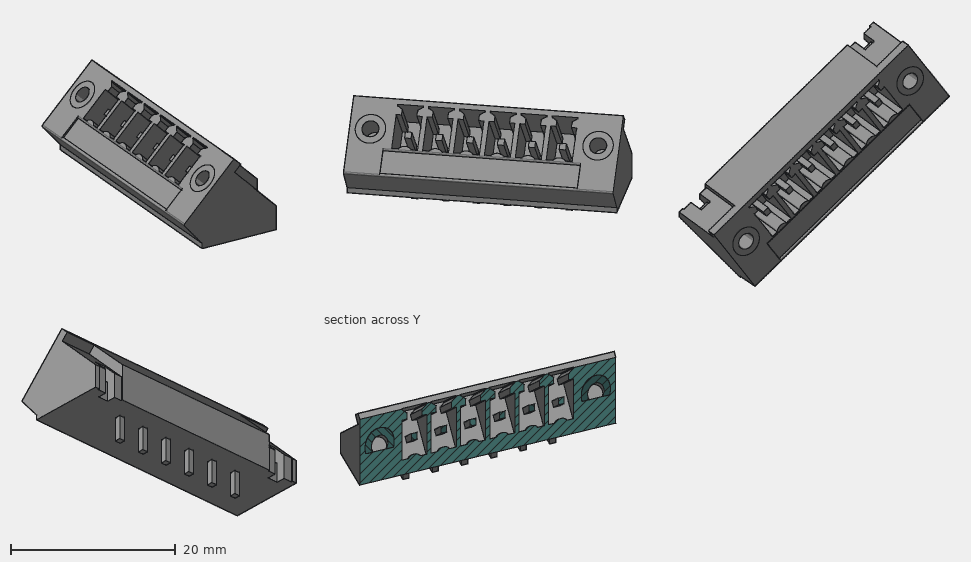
import cadquery as cq
import math


length = 33.25
height = 10.95
ridge_setback = 6.02
face_length = 10.1
back_height = 5.02
foot_depth = 10.55
foot_height = 0.7
edge_radius = 0.213

end_length = 4.45
end_back_height = 3.2
end_step_setback = 5.05
end_relief_depth = 0.2
end_relief_length = 3.82
slot_width = 1.5
slot_depth = 1.43
slot_ledge_depth = 2.0
slot_ledge_height = 2.65

panel_start = 6.55

pin_count = 6
pin_span = 19.05
pocket_depth = 6.0
pocket_top = 0.7
pocket_bottom = 6.42
mouth_bottom = 0.83
throat_top = 1.3
throat_bottom = 2.03
pocket_width = 3.2
throat_width = 1.9
rib_width = 1.6
rib_height = 0.35

pin_size = 0.8
pin_setback = 3.3
tail_length = 3.25
pin_tip_depth = 1.23
axis_drop = 4.12

insert_spacing = 28.05
insert_diameter = 3.72
insert_hole_diameter = 2.05
insert_depth = 4.0

slant = math.sqrt(0.5)
end_offset = length / 2 - end_length
corner_depth = ridge_setback + face_length * slant
corner_height = height - face_length * slant
underside_angle = math.atan2(corner_height - foot_height, corner_depth - foot_depth)
rounding_start = face_length - edge_radius / math.tan((math.pi / 4 + underside_angle) / 2)
pitch = pin_span / (pin_count - 1)
pin_places = [i * pitch - pin_span / 2 for i in range(pin_count)]
insert_places = (-insert_spacing / 2, insert_spacing / 2)
ridge = cq.Vector(0, -ridge_setback, height)

face_plane = cq.Plane(origin=ridge, xDir=(1, 0, 0), normal=(0, -slant, slant))
section_plane = cq.Plane(origin=ridge, xDir=(0, -slant, -slant), normal=(1, 0, 0))


def face_point(drop, below):
    """(Y, Z) of a point that lies `drop` down the face from the ridge and `below` under it."""
    point = section_plane.toWorldCoords((drop, below))
    return (point.y, point.z)


def front_edge_point(angle):
    """(Y, Z) on the rounding of the front edge, in the direction `angle` from its middle."""
    y, z = face_point(rounding_start, edge_radius)
    return (y + edge_radius * math.cos(angle), z + edge_radius * math.sin(angle))


def finish_section(outline, start_angle):
    """Round the front edge from `start_angle` to the underside and close the section at the foot."""
    end_angle = 1.5 * math.pi - underside_angle
    return (
        outline.lineTo(*front_edge_point(start_angle))
        .threePointArc(
            front_edge_point((start_angle + end_angle) / 2),
            front_edge_point(end_angle),
        )
        .lineTo(-foot_depth, foot_height)
        .lineTo(-foot_depth, 0)
        .close()
    )


def make_middle():
    """Middle of the housing; its panel is recessed between a rounded rim and a round front bead."""
    r = edge_radius
    outline = (
        cq.Workplane("YZ")
        .lineTo(0, back_height)
        .lineTo(-ridge_setback, height)
        .lineTo(*face_point(panel_start, 0))
        .threePointArc(
            face_point(panel_start + r * slant, r - r * slant),
            face_point(panel_start + r, r),
        )
    )
    return finish_section(outline, math.pi / 4).extrude(end_offset, both=True)


def make_end():
    """End of the housing, from X = 0 on, with a flat face and a rear slope that is stepped down."""
    slope = (height - back_height) / ridge_setback
    rim_height = back_height + slope * end_step_setback
    step_run = (rim_height - end_back_height + end_step_setback) / 2
    outline = (
        cq.Workplane("YZ")
        .lineTo(0, end_back_height)
        .lineTo(-step_run, end_back_height + step_run)
        .lineTo(-end_step_setback, rim_height)
        .lineTo(-ridge_setback, height)
    )
    return finish_section(outline, 0.75 * math.pi).extrude(end_length)


def make_block():
    """Middle and both ends of the housing in one piece."""
    block = make_middle()
    for x in (-length / 2, end_offset):
        block = block.union(make_end().translate((x, 0, 0)))
    return block


def make_end_cut():
    """Shallow relief in the back of the right end and the slot behind its insert."""
    relief = cq.Workplane("XY").box(
        end_relief_length, end_relief_depth, height, centered=False
    ).translate((end_offset, -end_relief_depth, 0))
    ledge_rise = slot_ledge_depth - slot_depth
    slot = (
        cq.Workplane("YZ")
        .polyline(
            [
                (0, 0),
                (0, height),
                (-slot_ledge_depth, height),
                (-slot_ledge_depth, slot_ledge_height + ledge_rise),
                (-slot_depth, slot_ledge_height),
                (-slot_depth, 0),
            ]
        )
        .close()
        .extrude(slot_width / 2, both=True)
        .translate((insert_spacing / 2, 0, 0))
    )
    return relief.union(slot)


def make_pocket_cut():
    """Wide pocket with a narrow throat, a flared mouth at the top and a round rib at the bottom."""
    wide = pocket_width / 2
    narrow = throat_width / 2
    rib = rib_width / 2
    return (
        cq.Workplane(face_plane)
        .moveTo(-wide, -pocket_top)
        .lineTo(wide, -pocket_top)
        .lineTo(wide, -mouth_bottom)
        .lineTo(narrow, -throat_top)
        .lineTo(narrow, -throat_bottom)
        .lineTo(wide, -throat_bottom)
        .lineTo(wide, -pocket_bottom)
        .lineTo(rib, -pocket_bottom)
        .threePointArc((0, rib_height - pocket_bottom), (-rib, -pocket_bottom))
        .lineTo(-wide, -pocket_bottom)
        .lineTo(-wide, -throat_bottom)
        .lineTo(-narrow, -throat_bottom)
        .lineTo(-narrow, -throat_top)
        .lineTo(-wide, -mouth_bottom)
        .close()
        .extrude(-pocket_depth)
    )


def make_pin(x):
    """Square pin: a vertical tail and a mitred bend to the contact at a right angle to the face."""
    half = pin_size / 2
    upper_tip = face_point(axis_drop - half, pin_tip_depth)
    lower_tip = face_point(axis_drop + half, pin_tip_depth)
    back = half - pin_setback
    front = -half - pin_setback
    upper_bend = (back, sum(upper_tip) - back)
    lower_bend = (front, sum(lower_tip) - front)
    return (
        cq.Workplane("YZ")
        .polyline(
            [(front, -tail_length), (back, -tail_length), upper_bend, upper_tip, lower_tip, lower_bend]
        )
        .close()
        .extrude(half, both=True)
        .translate((x, 0, 0))
    )


def make_insert_envelope(x):
    """Solid cylinder sunk into the face, the outer shape of an insert."""
    return (
        cq.Workplane(face_plane)
        .center(x, -axis_drop)
        .circle(insert_diameter / 2)
        .extrude(-insert_depth)
    )


def make_insert(x):
    """Screw insert: a sleeve flush with the face."""
    return (
        cq.Workplane(face_plane)
        .center(x, -axis_drop)
        .circle(insert_diameter / 2)
        .circle(insert_hole_diameter / 2)
        .extrude(-insert_depth)
    )


def make_housing(pins):
    """Block with all recesses and a fitting seat for every pin and insert."""
    housing = make_block()
    end_cut = make_end_cut()
    housing = housing.cut(end_cut).cut(end_cut.mirror("YZ"))
    pocket_cut = make_pocket_cut()
    for x in pin_places:
        housing = housing.cut(pocket_cut.translate((x, 0, 0)))
    for pin in pins:
        housing = housing.cut(pin)
    for x in insert_places:
        housing = housing.cut(make_insert_envelope(x))
    return housing


pins = [make_pin(x) for x in pin_places]
inserts = [make_insert(x) for x in insert_places]
housing = make_housing(pins)

result = cq.Compound.makeCompound(
    [housing.val(), *[pin.val() for pin in pins], *[insert.val() for insert in inserts]]
)